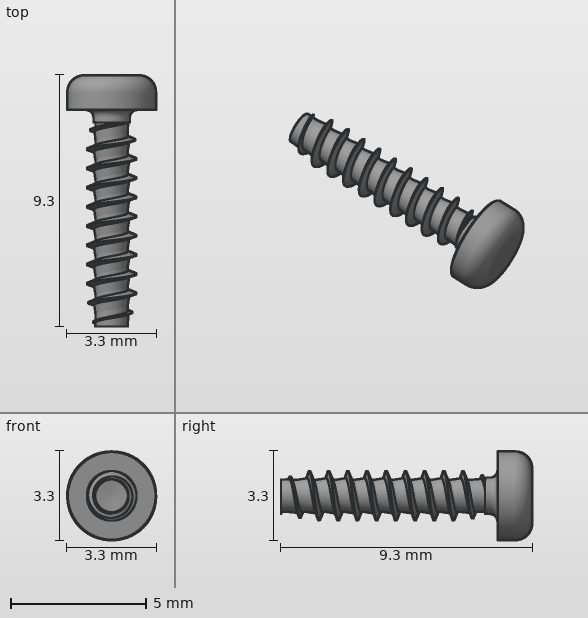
import cadquery as cq
import math


HEAD_RADIUS = 1.65
HEAD_HEIGHT = 1.3
CROWN_RADIUS = HEAD_HEIGHT / 2
SEAT_EDGE_CHAMFER = 0.03

SHANK_LENGTH = 8.0
NECK_RADIUS = 0.68
NECK_FILLET = 0.255
NECK_END = 0.45
CORE_RADIUS = 0.6
TIP_DIMPLE_RADIUS = 0.58
TIP_DIMPLE_DEPTH = 0.06

PITCH = 0.71
FIRST_FULL_CREST = 1.2655
FULL_TURNS = 8
CREST_RADIUS = 0.92
CREST_WIDTH = 0.02
CORE_CREST_RADIUS = CORE_RADIUS + 0.01
RUN_IN_RADIUS = 0.77
RUN_OUT_RADIUS = 0.715

HEAD_FLANK_FOOT = -0.17
HEAD_FLANK_BREAK = -0.085
HEAD_FLANK_BREAK_RADIUS = 0.727
TIP_FLANK_FOOT = 0.09
TIP_FLANK_FOOT_RADIUS = 0.657
ROOT_RAMP_END = 0.46
ROOT_RAMP_END_RADIUS = CORE_RADIUS - 0.003
RIDGE_OVERLAP = 0.1


def revolve_about_axis(outline):
    """Turn a closed outline, drawn as (radius, height), once around the Z axis."""
    return outline.close().revolve(360, (0, 0, 0), (0, 1, 0))


def make_head_and_neck():
    """Rounded pan head, with the plain neck below it and a fillet between them."""
    crown_flat = HEAD_RADIUS - CROWN_RADIUS
    diagonal = CROWN_RADIUS * math.sqrt(0.5)
    crown_centre = CROWN_RADIUS - HEAD_HEIGHT
    fillet_centre = NECK_RADIUS + NECK_FILLET
    fillet_inset = NECK_FILLET * math.sqrt(0.5)
    outline = (
        cq.Workplane("YZ")
        .moveTo(0, -HEAD_HEIGHT)
        .lineTo(crown_flat, -HEAD_HEIGHT)
        .threePointArc((crown_flat + diagonal, crown_centre - diagonal), (HEAD_RADIUS, crown_centre))
        .lineTo(HEAD_RADIUS, -SEAT_EDGE_CHAMFER)
        .lineTo(HEAD_RADIUS - SEAT_EDGE_CHAMFER, 0)
        .lineTo(fillet_centre, 0)
        .threePointArc((fillet_centre - fillet_inset, NECK_FILLET - fillet_inset), (NECK_RADIUS, NECK_FILLET))
        .lineTo(NECK_RADIUS, NECK_END)
        .lineTo(0, NECK_END)
    )
    return revolve_about_axis(outline)


def make_core():
    """Plain cylinder at the root of the thread."""
    outline = (
        cq.Workplane("YZ")
        .lineTo(CORE_RADIUS, 0)
        .lineTo(CORE_RADIUS, SHANK_LENGTH)
        .lineTo(0, SHANK_LENGTH)
    )
    return revolve_about_axis(outline)


def ridge_section(crest_radius):
    """Corners of the ridge, as (radius, offset from the crest), shrunk to the given crest radius."""
    share = (crest_radius - CORE_RADIUS) / (CREST_RADIUS - CORE_RADIUS)
    sunk_radius = CORE_RADIUS - RIDGE_OVERLAP

    def shrunk(radius, offset):
        return CORE_RADIUS + share * (radius - CORE_RADIUS), share * offset

    return [
        (sunk_radius, share * HEAD_FLANK_FOOT),
        shrunk(HEAD_FLANK_BREAK_RADIUS, HEAD_FLANK_BREAK),
        shrunk(CREST_RADIUS, -CREST_WIDTH / 2),
        shrunk(CREST_RADIUS, CREST_WIDTH / 2),
        shrunk(TIP_FLANK_FOOT_RADIUS, TIP_FLANK_FOOT),
        (ROOT_RAMP_END_RADIUS, ROOT_RAMP_END),
        (sunk_radius, ROOT_RAMP_END),
    ]


def one_turn(first_corner, last_corner, crest):
    """One turn of a helix, on a cylinder or a cone, from one ridge corner to the next turn's corner."""
    first_radius, first_offset = first_corner
    last_radius, last_offset = last_corner
    rise = PITCH + last_offset - first_offset
    widening = last_radius - first_radius
    centre = cq.Vector(0, 0, crest + first_offset)
    if widening == 0:
        return cq.Wire.makeHelix(rise, rise, first_radius, center=centre)
    slant = math.hypot(rise, widening)
    cone_angle = math.degrees(math.atan2(widening, rise))
    return cq.Wire.makeHelix(slant, slant, first_radius, center=centre, angle=cone_angle)


def ridge_end_face(corner_points):
    """Flat face that closes one end of the thread ridge."""
    return cq.Face.makeFromWires(cq.Wire.makePolygon(corner_points, close=True))


def make_ridge():
    """Asymmetric right-handed thread ridge that rises out of the core and sinks back into it.

    Its skin is made one turn at a time, as ruled faces between the helices of the ridge corners.
    """
    run_in = [CORE_CREST_RADIUS, RUN_IN_RADIUS]
    full = [CREST_RADIUS] * (FULL_TURNS + 1)
    run_out = [RUN_OUT_RADIUS, CORE_CREST_RADIUS]
    sections = [ridge_section(radius) for radius in run_in + full + run_out]
    first_crest = FIRST_FULL_CREST - len(run_in) * PITCH
    faces = []
    for turn, (first, last) in enumerate(zip(sections, sections[1:])):
        crest = first_crest + turn * PITCH
        helices = [one_turn(corner, next_corner, crest) for corner, next_corner in zip(first, last)]
        for helix, next_helix in zip(helices, helices[1:] + helices[:1]):
            faces += cq.Face.makeRuledSurface(helix, next_helix).Faces()
        if turn == 0:
            faces.append(ridge_end_face([helix.startPoint() for helix in helices]))
    faces.append(ridge_end_face([helix.endPoint() for helix in helices]))
    ridge = cq.Workplane(obj=cq.Solid.makeSolid(cq.Shell.makeShell(faces)))
    return ridge.rotate((0, 0, 0), (0, 0, 1), 90)


def make_thread_envelope():
    """Space that holds the threaded length, from the end of the neck to the dimpled tip."""
    outline = (
        cq.Workplane("YZ")
        .moveTo(0, NECK_END)
        .lineTo(HEAD_RADIUS, NECK_END)
        .lineTo(HEAD_RADIUS, SHANK_LENGTH)
        .lineTo(TIP_DIMPLE_RADIUS, SHANK_LENGTH)
        .lineTo(0, SHANK_LENGTH - TIP_DIMPLE_DEPTH)
    )
    return revolve_about_axis(outline)


threaded_shank = make_core().union(make_ridge()).intersect(make_thread_envelope())
screw = make_head_and_neck().union(threaded_shank)
result = screw.rotate((0, 0, 0), (1, 0, 0), 90)